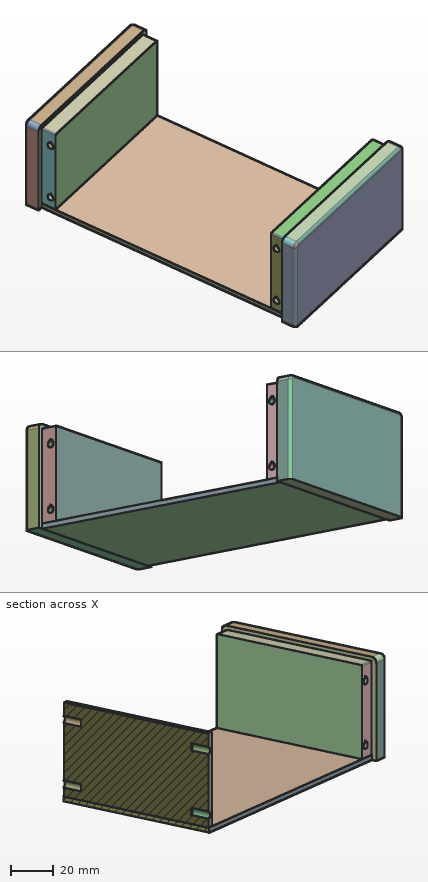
import cadquery as cq
import math

overall_length = 156.0
overall_width = 88.5
overall_height = 51.14

flange_thickness = 8.0
flange_corner_radius = 2.5
flange_rim_radius = 1.5
block_thickness = 8.0
block_margin = 2.6
block_corner_radius = 0.65
block_top_gap = 2.0

plate_thickness = 2.6
plate_width = 83.5

hole_diameter = 3.3
hole_depth = 10.0
hole_offset = 5.0
hole_heights = (8.6, 40.6)

half_length = overall_length / 2
flange_inner_x = -half_length + flange_thickness
block_width = overall_width - 2 * block_margin
block_height = overall_height - block_top_gap - plate_thickness


def upright_slab(outer_x, bottom_z, thickness, width, height, corner_radius):
    """Slab standing across the part, with its two top corners rounded."""
    slab = cq.Workplane("XY").box(thickness, width, height, centered=(False, True, False))
    slab = slab.edges("|X and >Z").fillet(corner_radius)
    return slab.translate((outer_x, 0, bottom_z))


def make_flange():
    """Outer flange, its outer face rounded along the sides and the top."""
    flange = upright_slab(
        -half_length, 0, flange_thickness, overall_width, overall_height, flange_corner_radius
    )
    rim = flange.faces("<X").edges("not <Z")
    return flange.newObject(rim.vals()).fillet(flange_rim_radius)


def make_screw_holes():
    """Blind teardrop holes entering the block from both ends, their points upward."""
    radius = hole_diameter / 2
    tangent_offset = radius * math.sin(math.radians(45))
    point_height = radius * math.sqrt(2)
    hole = (
        cq.Workplane("XZ")
        .moveTo(-tangent_offset, tangent_offset)
        .threePointArc((0, -radius), (tangent_offset, tangent_offset))
        .lineTo(0, point_height)
        .close()
        .extrude(-hole_depth)
    )
    hole_x = flange_inner_x + hole_offset
    front_holes = [hole.translate((hole_x, -block_width / 2, height)) for height in hole_heights]
    back_holes = [front_hole.mirror("XZ") for front_hole in front_holes]
    return front_holes + back_holes


def make_end_cheek():
    """End cheek at the -X end: flange and bored block in one piece."""
    block = upright_slab(
        flange_inner_x, plate_thickness, block_thickness, block_width, block_height, block_corner_radius
    )
    cheek = make_flange().union(block)
    for hole in make_screw_holes():
        cheek = cheek.cut(hole)
    return cheek


def make_base_plate():
    """Flat plate filling the span between the two flanges."""
    plate_length = overall_length - 2 * flange_thickness
    return cq.Workplane("XY").box(
        plate_length, plate_width, plate_thickness, centered=(True, True, False)
    )


base_plate = make_base_plate()
end_cheek = make_end_cheek()
end_cheeks = [end_cheek.rotate((0, 0, 0), (0, 0, 1), angle).val() for angle in (0, 180)]

result = cq.Compound.makeCompound([base_plate.val(), *end_cheeks])